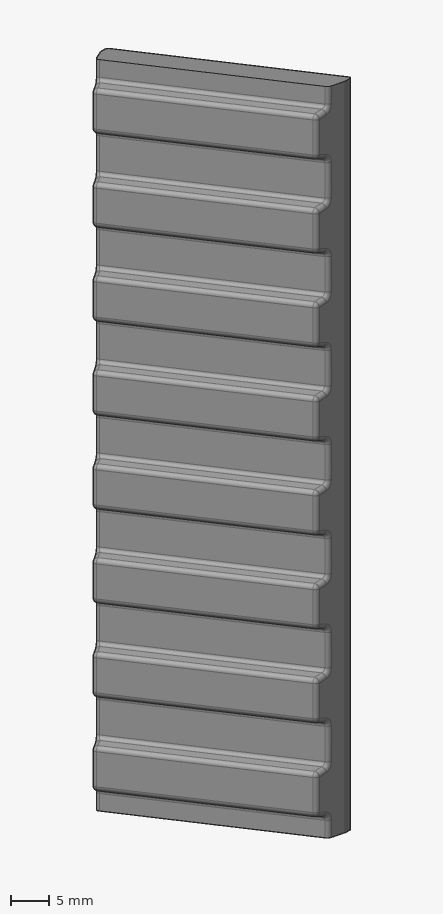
import cadquery as cq
import math

LENGTH = 101.6
WIDTH = 35.0
HEIGHT = 7.9

FLANK_DEPTH = 1.9
SIDE_ANGLE = math.radians(14)
BACK_RADIUS = 0.6
FLANK_BLEND_RADIUS = 2.0

TOOTH_COUNT = 8
TOOTH_PITCH = LENGTH / TOOTH_COUNT
TOOTH_DEPTH = 2.4
TIP_WIDTH = 5.9
TOOTH_ANGLE = math.radians(12)
ROOT_RADIUS = 0.6
EDGE_RADIUS = 0.7

TIP_Y = -HEIGHT
FLOOR_Y = TIP_Y + TOOTH_DEPTH
TOLERANCE = 0.01


def make_bar():
    """Tapered bar along Z with rounded back corners and blended flanks."""
    half_back = WIDTH / 2
    half_tip = half_back - (HEIGHT - FLANK_DEPTH) * math.tan(SIDE_ANGLE)
    outline = [
        (-half_back, 0),
        (half_back, 0),
        (half_back, -FLANK_DEPTH),
        (half_tip, TIP_Y),
        (-half_tip, TIP_Y),
        (-half_back, -FLANK_DEPTH),
    ]
    bar = cq.Workplane("XY").polyline(outline).close().extrude(LENGTH)
    blend_band = cq.selectors.BoxSelector(
        (-WIDTH, -FLANK_DEPTH - TOLERANCE, -LENGTH),
        (WIDTH, -FLANK_DEPTH + TOLERANCE, 2 * LENGTH),
    )
    bar = bar.edges("|Z").edges(blend_band).fillet(FLANK_BLEND_RADIUS)
    return bar.faces(">Y").edges("|Z").fillet(BACK_RADIUS)


def make_gap(center_z):
    """Trapezoidal gap between two teeth, with rounded root corners."""
    half_mouth = (TOOTH_PITCH - TIP_WIDTH) / 2
    half_floor = half_mouth - TOOTH_DEPTH * math.tan(TOOTH_ANGLE)
    outline = [
        (TIP_Y, center_z - half_mouth),
        (FLOOR_Y, center_z - half_floor),
        (FLOOR_Y, center_z + half_floor),
        (TIP_Y, center_z + half_mouth),
    ]
    gap = cq.Workplane("YZ").polyline(outline).close().extrude(WIDTH / 2, both=True)
    return gap.faces(">Y").edges("|X").fillet(ROOT_RADIUS)


def round_front(body):
    """Round the four edges of every tooth tip and the side edges of the gaps between."""
    front_box = cq.selectors.BoxSelector(
        (-WIDTH, TIP_Y - TOLERANCE, TOLERANCE),
        (WIDTH, FLOOR_Y + TOLERANCE, LENGTH - TOLERANCE),
    )
    tip_edges = body.faces("<Y").edges()
    side_edges = body.edges(front_box).edges("not |X")
    return tip_edges.add(side_edges).fillet(EDGE_RADIUS)


body = make_bar()
for index in range(TOOTH_COUNT + 1):
    body = body.cut(make_gap(index * TOOTH_PITCH))

result = round_front(body)